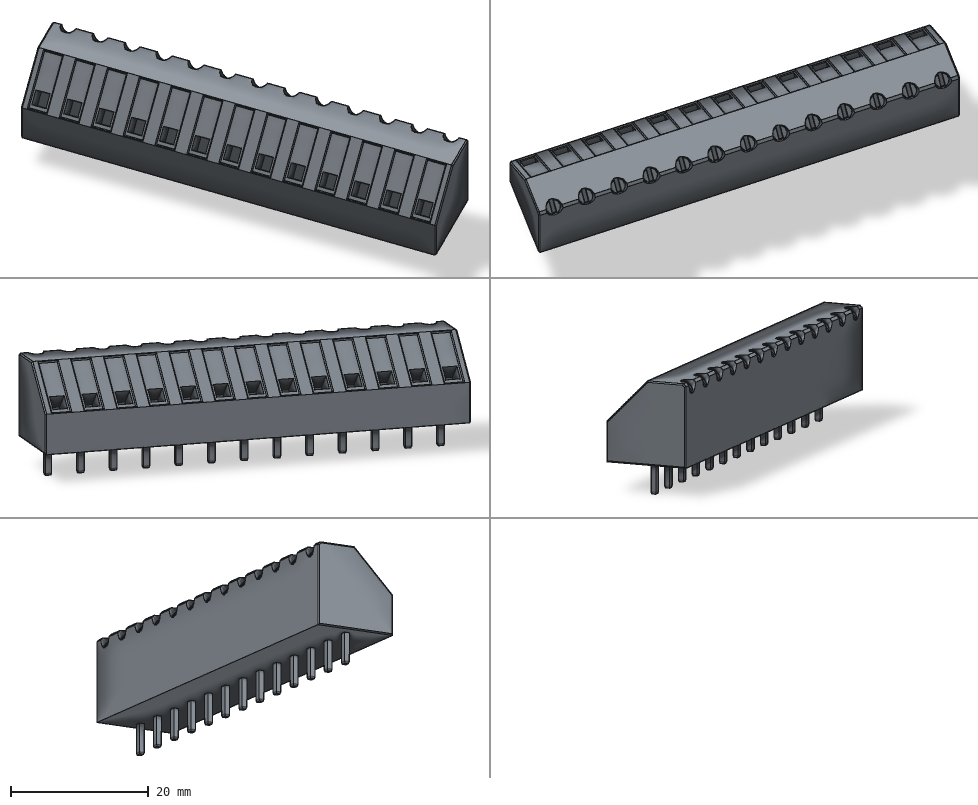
import cadquery as cq
import math

pole_count = 13
length = 65.0
width = 12.5
height = 12.5
pitch = length / pole_count

slope_run = 6.45
back_bevel = 0.4
end_chamfer = 0.2

pin_length = 4.6
pin_width = 1.0
pin_thickness = 0.8
pin_back_offset = 5.9
pin_tip_height = 0.3
pin_tip_inset = 0.1

recess_mouth_width = 3.1
recess_floor_width = 2.8
recess_margin = 0.1
recess_depth = 0.2

entry_size = 2.2
entry_rise = 1.35
entry_depth = 3.25

bore_diameter = 2.5
screw_diameter = 2.15
screw_recess = 1.2
screw_clearance_depth = 0.65
slot_width = 0.65
slot_depth = 0.5

back_y = width / 2
front_y = -width / 2
slope_length = slope_run * math.sqrt(2)
pole_positions = [(i + 0.5) * pitch - length / 2 for i in range(pole_count)]


def make_block():
    """Extrude the side profile along X and chamfer both end faces."""
    profile = [
        (front_y, 0),
        (back_y, 0),
        (back_y, height - back_bevel),
        (back_y - back_bevel, height),
        (front_y + slope_run, height),
        (front_y, height - slope_run),
    ]
    block = cq.Workplane("YZ").polyline(profile).close().extrude(length / 2, both=True)
    return block.faces("<X or >X").chamfer(end_chamfer)


def slope_plane(x):
    """Plane on the sloping face: local Y climbs the slope from its lower edge, Z points outward."""
    return cq.Plane(origin=(x, front_y, height - slope_run), xDir=(1, 0, 0), normal=(0, -1, 1))


def make_recess(x):
    """Recess whose mouth and floor are joined by bevelled walls."""
    bevel = (recess_mouth_width - recess_floor_width) / 2
    mouth_length = slope_length - 2 * recess_margin
    return (
        cq.Workplane(slope_plane(x))
        .center(0, slope_length / 2)
        .rect(recess_mouth_width, mouth_length)
        .workplane(offset=-recess_depth)
        .rect(recess_floor_width, mouth_length - 2 * bevel)
        .loft(ruled=True)
    )


def make_wire_entry(x):
    return (
        cq.Workplane(slope_plane(x))
        .center(0, entry_rise * math.sqrt(2))
        .rect(entry_size, entry_size)
        .extrude(-entry_depth)
    )


def make_screw_bore(x):
    """Bore down to the screw head, a gap around the head and its driver slot."""
    plane = cq.Plane(origin=(x, back_y, height), xDir=(1, 0, 0), normal=(0, 1, 1))
    head = cq.Workplane(plane).workplane(offset=-screw_recess)
    bore = head.circle(bore_diameter / 2).extrude(2 * bore_diameter)
    gap = head.circle(bore_diameter / 2).circle(screw_diameter / 2).extrude(-screw_clearance_depth)
    slot = head.rect(slot_width, screw_diameter).extrude(-slot_depth)
    return bore.union(gap).union(slot)


def make_pin(x):
    """Rectangular pin with a tapered tip, rooted inside the block."""
    tip = (
        cq.Workplane("XY", origin=(x, back_y - pin_back_offset, -pin_length))
        .rect(pin_width - 2 * pin_tip_inset, pin_thickness - 2 * pin_tip_inset)
        .workplane(offset=pin_tip_height)
        .rect(pin_width, pin_thickness)
        .loft(ruled=True)
    )
    return tip.faces(">Z").workplane().rect(pin_width, pin_thickness).extrude(pin_length)


result = make_block()
for pole_x in pole_positions:
    result = result.cut(make_recess(pole_x))
    result = result.cut(make_wire_entry(pole_x))
    result = result.cut(make_screw_bore(pole_x))
    result = result.union(make_pin(pole_x))